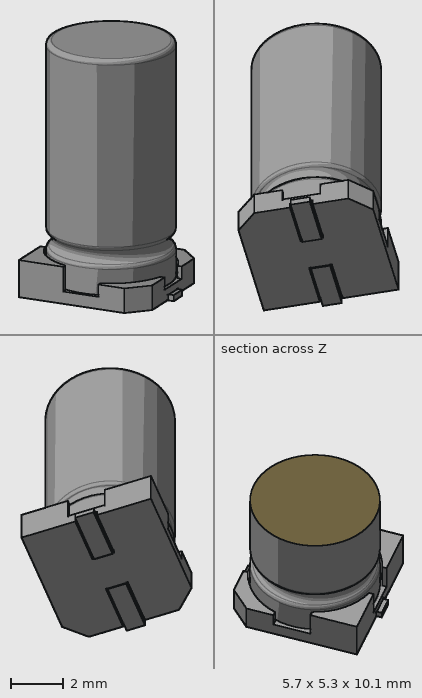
import cadquery as cq
import math


base_size = 5.3
standoff = 0.05
tall_height = 1.5
short_height = 1.0
floor_height = 0.5
corner_chamfer = 0.8
notch_width = 1.5
can_clearance = 0.08

can_radius = 2.5
can_top = 10.05
rim_radius = 0.2
crimp_neck_radius = 2.25
crimp_height = 2.05
crimp_half_span = 0.45

lead_width = 0.75
lead_thickness = 0.25
lead_overhang = 0.2
lead_inner_x = 0.75
lead_slot_side_gap = 0.075

half_base = base_size / 2
can_floor = standoff + floor_height
slot_width = lead_width + 2 * lead_slot_side_gap


def make_base():
    """Chamfered square base with a round seat, side notches and stepped posts."""
    base = (
        cq.Workplane("XY")
        .workplane(offset=standoff)
        .rect(base_size, base_size)
        .extrude(tall_height)
        .edges("|Z and >X")
        .chamfer(corner_chamfer)
    )
    step = (
        cq.Workplane("XY")
        .workplane(offset=standoff + short_height)
        .center(half_base / 2, 0)
        .rect(half_base, base_size)
        .extrude(tall_height - short_height)
    )
    opening = cq.Workplane("XY").workplane(offset=can_floor)
    open_height = tall_height - floor_height
    seat = opening.circle(can_radius + can_clearance).extrude(open_height)
    notch_x = opening.rect(base_size, notch_width).extrude(open_height)
    notch_y = opening.rect(notch_width, base_size).extrude(open_height)
    return base.cut(step).cut(seat).cut(notch_x).cut(notch_y)


def make_can():
    """Revolved can with a rounded top rim and a rolled crimp groove."""
    groove_depth = can_radius - crimp_neck_radius
    arc_center_distance = (crimp_half_span**2 + groove_depth**2) / (2 * groove_depth)
    lip_center_x = can_radius - rim_radius
    lip_angle = math.asin(crimp_half_span / arc_center_distance)
    tangent_x = lip_center_x + rim_radius * math.cos(lip_angle)
    tangent_offset = crimp_half_span - rim_radius * math.sin(lip_angle)
    lip_mid_x = lip_center_x + rim_radius * math.cos(lip_angle / 2)
    lip_mid_offset = crimp_half_span - rim_radius * math.sin(lip_angle / 2)
    rim_diagonal = rim_radius * math.sqrt(0.5)
    rim_center_z = can_top - rim_radius

    profile = (
        cq.Workplane("XZ")
        .moveTo(0, can_floor)
        .lineTo(can_radius, can_floor)
        .lineTo(can_radius, crimp_height - crimp_half_span)
        .threePointArc(
            (lip_mid_x, crimp_height - lip_mid_offset),
            (tangent_x, crimp_height - tangent_offset),
        )
        .threePointArc(
            (crimp_neck_radius, crimp_height),
            (tangent_x, crimp_height + tangent_offset),
        )
        .threePointArc(
            (lip_mid_x, crimp_height + lip_mid_offset),
            (can_radius, crimp_height + crimp_half_span),
        )
        .lineTo(can_radius, rim_center_z)
        .threePointArc(
            (lip_center_x + rim_diagonal, rim_center_z + rim_diagonal),
            (lip_center_x, can_top),
        )
        .lineTo(0, can_top)
        .close()
    )
    return profile.revolve(360, (0, 0, 0), (0, 1, 0))


def make_lead_bar(side, width, bottom, outer_x):
    """Flat bar from the lead's inner end out to outer_x, topped at lead thickness."""
    return (
        cq.Workplane("XY")
        .workplane(offset=bottom)
        .center(side * (lead_inner_x + outer_x) / 2, 0)
        .rect(outer_x - lead_inner_x, width)
        .extrude(lead_thickness - bottom)
    )


body = make_base()
for side in (-1, 1):
    slot = make_lead_bar(side, slot_width, standoff, half_base)
    lead = make_lead_bar(side, lead_width, 0, half_base + lead_overhang)
    body = body.cut(slot).union(lead)

result = body.union(make_can())